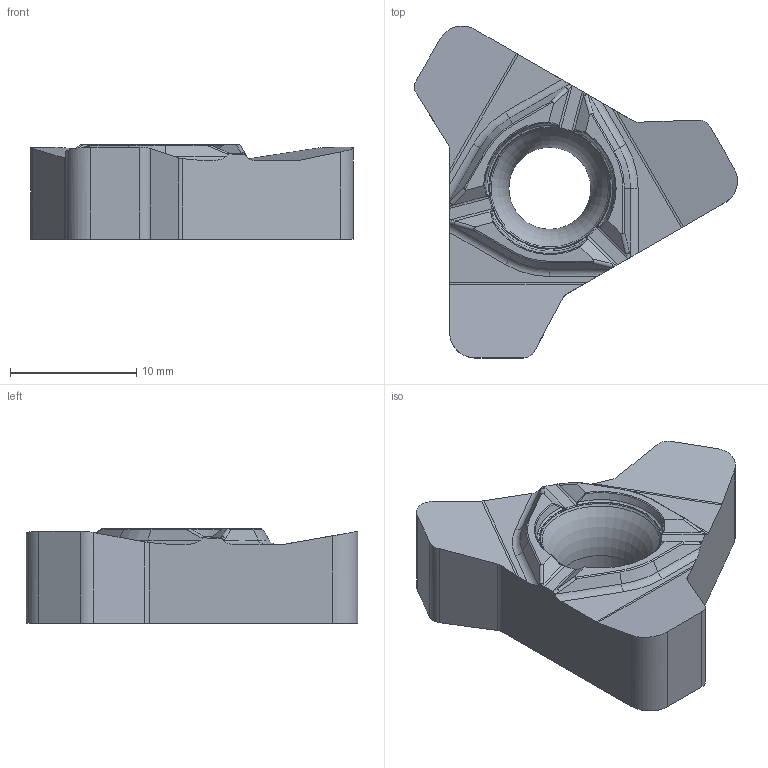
import cadquery as cq
import math

ARM_COUNT = 3
ARM_ANGLES = [index * 360 / ARM_COUNT for index in range(ARM_COUNT)]

INSCRIBED_DIAMETER = 15.875
FLANK_DISTANCE = INSCRIBED_DIAMETER / 2
TIP_DISTANCE = 13.452
TIP_CORNER_X = -1.50
BACK_EDGE_ANGLE = 62.0
NOSE_RADIUS = 2.0
HEEL_RADIUS = 1.0
INNER_CORNER_RADIUS = 0.8

TOP_HEIGHT = 7.5
DECK_HEIGHT = 6.25
SEAT_HEIGHT = 6.75

RAKE_START = 7.55
RAKE_ANGLE = 10.0
RAKE_BLEND_RADIUS = 1.0

BOSS_TOP_RADIUS = 5.88
BOSS_WALL_ANGLE = 30.0
BOSS_ARC_START = -120.0
BOSS_ARC_SPAN = 30.0
BOSS_FOOT_RADIUS = 0.7
BOSS_EDGE_CHAMFER = 0.08

HOLE_RADIUS = 6.5 / 2
FLARE_START_HEIGHT = 2.69
FLARE_RADIUS = 5.87
FLARE_ANGLE = 40.5
SEAT_INNER_RADIUS = 4.85
SEAT_CHAMFER = 0.08
RECESS_TOP_RADIUS = 5.2
RECESS_WALL_ANGLE = 18.0
RECESS_FILLET_RADIUS = 0.2
RECESS_EDGE_CHAMFER = 0.06

SLOT_ANGLE = -45.0
SLOT_FLOOR_WIDTH = 1.1
SLOT_TOP_WIDTH = 3.0
SLOT_SIDE_OFFSET = -0.06
SLOT_FLOOR_FILLET = 0.3
SLOT_SHOULDER_FILLET = 0.25
SLOT_MOUTH_FILLET = 0.1
SLOT_START = 4.0
SLOT_LENGTH = 8.0

OVERSIZE = 20.0
SELECTION_MARGIN = 0.01


def polar(radius, angle):
    radians = math.radians(angle)
    return (radius * math.cos(radians), radius * math.sin(radians))


def rotate_point(point, angle):
    radius = math.hypot(*point)
    return polar(radius, math.degrees(math.atan2(point[1], point[0])) + angle)


def repeat_on_arms(shape):
    """Copy a solid to every arm and fuse the copies."""
    fused = shape
    for angle in ARM_ANGLES[1:]:
        fused = fused.union(shape.rotate((0, 0, 0), (0, 0, 1), angle))
    return fused


def inner_corner():
    """Corner where the back edge of an arm meets the flank of the next arm."""
    normal = polar(1, 180 + 360 / ARM_COUNT)
    direction = polar(1, BACK_EDGE_ANGLE)
    start_offset = TIP_CORNER_X * normal[0] - TIP_DISTANCE * normal[1]
    approach = direction[0] * normal[0] + direction[1] * normal[1]
    length = (FLANK_DISTANCE - start_offset) / approach
    return (TIP_CORNER_X + length * direction[0], -TIP_DISTANCE + length * direction[1])


def outline_prism():
    """Full-height prism with the rounded three-armed outline."""
    nose = (-FLANK_DISTANCE, -TIP_DISTANCE)
    heel = (TIP_CORNER_X, -TIP_DISTANCE)
    corners = [nose, heel, inner_corner()]
    radii = [NOSE_RADIUS, HEEL_RADIUS, INNER_CORNER_RADIUS]
    points = [rotate_point(corner, angle) for angle in ARM_ANGLES for corner in corners]
    prism = cq.Workplane("XY").polyline(points).close().extrude(TOP_HEIGHT)
    for corner, radius in zip(corners, radii):
        for angle in ARM_ANGLES:
            x, y = rotate_point(corner, angle)
            edge = cq.selectors.NearestToPointSelector((x, y, TOP_HEIGHT / 2))
            prism = prism.edges("|Z").edges(edge).fillet(radius)
    return prism


def boss_outline(radius):
    """Three arcs about the centre, joined by tangents that meet in square corners."""
    corner_radius = radius * math.sqrt(2)
    outline = cq.Workplane("XY", origin=(0, 0, DECK_HEIGHT)).moveTo(*polar(radius, BOSS_ARC_START))
    for angle in ARM_ANGLES:
        start = BOSS_ARC_START + angle
        end = start + BOSS_ARC_SPAN
        next_start = start + 360 / ARM_COUNT
        outline = outline.threePointArc(polar(radius, (start + end) / 2), polar(radius, end))
        outline = outline.lineTo(*polar(corner_radius, (end + next_start) / 2))
        if angle != ARM_ANGLES[-1]:
            outline = outline.lineTo(*polar(radius, next_start))
    return outline.close()


def deck_with_boss():
    """Oversize flat deck carrying the tapered boss with its foot fillet."""
    boss_height = TOP_HEIGHT - DECK_HEIGHT
    foot_radius = BOSS_TOP_RADIUS + boss_height * math.tan(math.radians(BOSS_WALL_ANGLE))
    boss = boss_outline(foot_radius).extrude(boss_height, taper=BOSS_WALL_ANGLE)
    boss = boss.faces(">Z").edges().chamfer(BOSS_EDGE_CHAMFER)
    deck = cq.Workplane("XY").circle(OVERSIZE).extrude(DECK_HEIGHT)
    reach = foot_radius * math.sqrt(2)
    foot_edges = cq.selectors.BoxSelector(
        (-reach, -reach, DECK_HEIGHT - SELECTION_MARGIN),
        (reach, reach, DECK_HEIGHT + SELECTION_MARGIN),
        boundingbox=True,
    )
    return deck.union(boss).edges(foot_edges).fillet(BOSS_FOOT_RADIUS)


def rake_wedge():
    """Wedge above the deck on the -Y arm, blended into the deck by an arc."""
    rake = math.radians(RAKE_ANGLE)
    half_turn = rake / 2
    blend_start = -RAKE_START + RAKE_BLEND_RADIUS * math.tan(half_turn)
    blend_mid = (
        blend_start - RAKE_BLEND_RADIUS * math.sin(half_turn),
        DECK_HEIGHT + RAKE_BLEND_RADIUS * (1 - math.cos(half_turn)),
    )
    blend_end = (
        blend_start - RAKE_BLEND_RADIUS * math.sin(rake),
        DECK_HEIGHT + RAKE_BLEND_RADIUS * (1 - math.cos(rake)),
    )
    far_height = DECK_HEIGHT + (OVERSIZE - RAKE_START) * math.tan(rake)
    return (
        cq.Workplane("YZ", origin=(-OVERSIZE / 2, 0, 0))
        .moveTo(blend_start, DECK_HEIGHT)
        .threePointArc(blend_mid, blend_end)
        .lineTo(-OVERSIZE, far_height)
        .lineTo(-OVERSIZE, 0)
        .lineTo(blend_start, 0)
        .close()
        .extrude(OVERSIZE)
    )


def screw_hole():
    """Turned cutter: cylinder, trumpet flare, conical seat edge and drafted recess."""
    flare = math.radians(FLARE_ANGLE)

    def flare_point(turn):
        radius = HOLE_RADIUS + FLARE_RADIUS * (1 - math.cos(turn))
        return (radius, FLARE_START_HEIGHT + FLARE_RADIUS * math.sin(turn))

    draft = math.tan(math.radians(RECESS_WALL_ANGLE))
    recess_floor_radius = RECESS_TOP_RADIUS - (TOP_HEIGHT - SEAT_HEIGHT) * draft
    wall_turn = math.radians(90 - RECESS_WALL_ANGLE)
    fillet_tangent = RECESS_FILLET_RADIUS * math.tan(wall_turn / 2)
    fillet_start = recess_floor_radius - fillet_tangent

    def fillet_point(turn):
        radius = fillet_start + RECESS_FILLET_RADIUS * math.sin(turn)
        return (radius, SEAT_HEIGHT + RECESS_FILLET_RADIUS * (1 - math.cos(turn)))

    edge_start = (RECESS_TOP_RADIUS - RECESS_EDGE_CHAMFER * draft, TOP_HEIGHT - RECESS_EDGE_CHAMFER)
    return (
        cq.Workplane("XZ")
        .lineTo(HOLE_RADIUS, 0)
        .lineTo(HOLE_RADIUS, FLARE_START_HEIGHT)
        .threePointArc(flare_point(flare / 2), flare_point(flare))
        .lineTo(SEAT_INNER_RADIUS - SEAT_CHAMFER, SEAT_HEIGHT - SEAT_CHAMFER)
        .lineTo(SEAT_INNER_RADIUS, SEAT_HEIGHT)
        .lineTo(fillet_start, SEAT_HEIGHT)
        .threePointArc(fillet_point(wall_turn / 2), fillet_point(wall_turn))
        .lineTo(*edge_start)
        .lineTo(RECESS_TOP_RADIUS + RECESS_EDGE_CHAMFER, TOP_HEIGHT)
        .lineTo(0, TOP_HEIGHT)
        .close()
        .revolve(360, (0, 0, 0), (0, 1, 0))
    )


def chip_slot():
    """Trapezoidal radial slot with rounded floor corners."""
    half_floor = SLOT_FLOOR_WIDTH / 2
    half_top = SLOT_TOP_WIDTH / 2
    slot = (
        cq.Workplane("YZ", origin=(SLOT_START, SLOT_SIDE_OFFSET, 0))
        .moveTo(-half_floor, SEAT_HEIGHT)
        .lineTo(half_floor, SEAT_HEIGHT)
        .lineTo(half_top, TOP_HEIGHT)
        .lineTo(-half_top, TOP_HEIGHT)
        .close()
        .extrude(SLOT_LENGTH)
    )
    slot = slot.faces("<Z").edges("|X").fillet(SLOT_FLOOR_FILLET)
    return slot.rotate((0, 0, 0), (0, 0, 1), SLOT_ANGLE)


def sloping_edges(body, inner_radius, outer_radius):
    """Sloping edges of the slot walls whose middle lies between the two radii."""

    def is_sloping(edge):
        heights = sorted((edge.startPoint().z, edge.endPoint().z))
        middle = edge.Center()
        in_slot = SEAT_HEIGHT < heights[0] < heights[1] - BOSS_EDGE_CHAMFER
        return in_slot and inner_radius < math.hypot(middle.x, middle.y) < outer_radius

    return body.newObject([edge for edge in body.edges().vals() if is_sloping(edge)])


body = deck_with_boss().cut(repeat_on_arms(chip_slot()))
body = sloping_edges(body, BOSS_TOP_RADIUS, OVERSIZE).fillet(SLOT_SHOULDER_FILLET)
body = body.union(repeat_on_arms(rake_wedge()))
body = body.intersect(outline_prism())
body = body.cut(screw_hole())
result = sloping_edges(body, SEAT_INNER_RADIUS, BOSS_TOP_RADIUS).fillet(SLOT_MOUTH_FILLET)